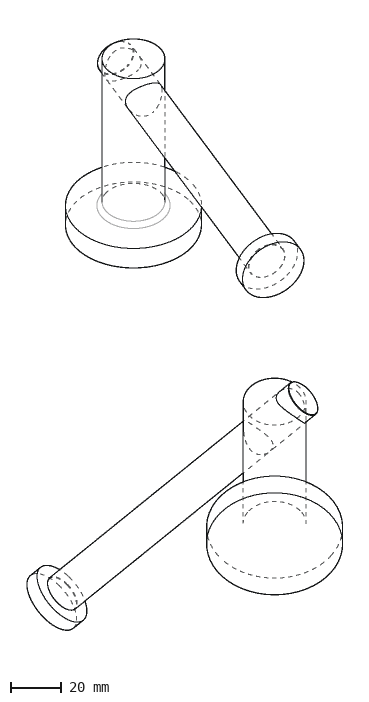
import cadquery as cq

overall_length = 156.8

foot_diameter = 54.0
foot_thickness = 10.0
post_diameter = 25.0
stand_height = 85.0
post_fillet = 2.0

bar_diameter = 16.0
bar_axis_height = 73.0
bar_start_x = -16.8
bar_end_chamfer = 0.2

stop_diameter = 27.0
stop_thickness = 6.0
stop_outer_x = overall_length - foot_diameter / 2
stop_inner_x = stop_outer_x - stop_thickness


def disc_along_x(diameter, start_x, end_x):
    """Solid cylinder centred on the bar axis, from start_x to end_x."""
    return (
        cq.Workplane("YZ", origin=(start_x, 0, bar_axis_height))
        .circle(diameter / 2)
        .extrude(end_x - start_x)
    )


def make_bar():
    """Round rod with slightly broken end edges, butting against the end stop."""
    rod = disc_along_x(bar_diameter, bar_start_x, stop_inner_x)
    return rod.faces("<X or >X").chamfer(bar_end_chamfer)


def make_stand():
    """Foot and post in one piece, cross-bored for the bar."""
    foot = cq.Workplane("XY").circle(foot_diameter / 2).extrude(foot_thickness)
    post = cq.Workplane("XY").circle(post_diameter / 2).extrude(stand_height)
    post_root = cq.selectors.RadiusNthSelector(0)
    solid_stand = foot.union(post)
    solid_stand = solid_stand.faces("<Z[1]").edges(post_root).fillet(post_fillet)
    return solid_stand.cut(make_bar())


def make_end_stop():
    """Disc that keeps the roll on the bar."""
    return disc_along_x(stop_diameter, stop_inner_x, stop_outer_x)


stand = make_stand()
bar = make_bar()
end_stop = make_end_stop()

result = cq.Compound.makeCompound([stand.val(), bar.val(), end_stop.val()])